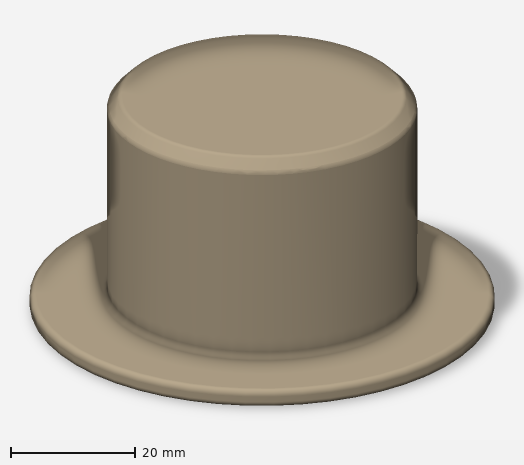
import cadquery as cq

flange_diameter = 75.0
flange_thickness = 3.0
plug_diameter = 50.0
total_height = 38.0
top_chamfer = 2.0

edge_radius = flange_thickness / 3

flange = (
    cq.Workplane("XY")
    .circle(flange_diameter / 2)
    .extrude(flange_thickness)
    .edges("%CIRCLE")
    .fillet(edge_radius)
)

plug = (
    cq.Workplane("XY")
    .circle(plug_diameter / 2)
    .extrude(total_height)
    .faces(">Z")
    .chamfer(top_chamfer)
    .faces("%CONE")
    .edges("%CIRCLE")
    .fillet(edge_radius)
)

flange_top = cq.selectors.NearestToPointSelector((0, 0, flange_thickness))
smallest_circle = cq.selectors.RadiusNthSelector(0)
result = (
    flange.union(plug)
    .faces(flange_top)
    .edges(smallest_circle)
    .fillet(edge_radius)
)